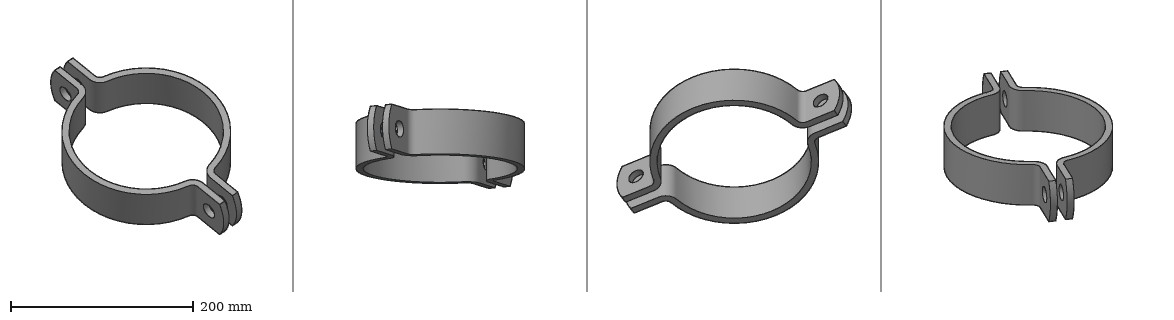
import cadquery as cq
import math

ring_outer_radius = 92.5
thickness = 8.0
ring_inner_radius = ring_outer_radius - thickness
width = 50.0

ear_gap = 11.0
ear_tip_x = 140.0
ear_tip_radius = 50.0
bolt_hole_spacing = 232.0
bolt_hole_diameter = 18.0

ear_inner_y = ear_gap / 2
ear_outer_y = ear_inner_y + thickness

bend_inner_radius = 8.0
bend_outer_radius = bend_inner_radius + thickness
bend_center_y = ear_outer_y + bend_inner_radius
bend_center_distance = ring_outer_radius + bend_inner_radius
bend_angle = math.asin(bend_center_y / bend_center_distance)
bend_center_x = bend_center_distance * math.cos(bend_angle)

bend_middle_angle = (math.pi + bend_angle + 1.5 * math.pi) / 2


def ring_point(radius):
    """Point where the ring, at the given radius, runs into the right-hand bend."""
    return (radius * math.cos(bend_angle), radius * math.sin(bend_angle))


def bend_point(radius):
    """Middle point of the right-hand bend arc of the given radius."""
    return (
        bend_center_x + radius * math.cos(bend_middle_angle),
        bend_center_y + radius * math.sin(bend_middle_angle),
    )


def mirrored(point):
    """The same point on the left-hand side."""
    return (-point[0], point[1])


def strip_profile():
    """Bent strip of the +Y half: ear, bend, half ring, bend, ear."""
    outer_end = ring_point(ring_outer_radius)
    inner_end = ring_point(ring_inner_radius)
    outer_bend = bend_point(bend_inner_radius)
    inner_bend = bend_point(bend_outer_radius)
    return (
        cq.Workplane("XY")
        .moveTo(ear_tip_x, ear_outer_y)
        .lineTo(bend_center_x, ear_outer_y)
        .threePointArc(outer_bend, outer_end)
        .threePointArc((0, ring_outer_radius), mirrored(outer_end))
        .threePointArc(mirrored(outer_bend), (-bend_center_x, ear_outer_y))
        .lineTo(-ear_tip_x, ear_outer_y)
        .lineTo(-ear_tip_x, ear_inner_y)
        .lineTo(-bend_center_x, ear_inner_y)
        .threePointArc(mirrored(inner_bend), mirrored(inner_end))
        .threePointArc((0, ring_inner_radius), inner_end)
        .threePointArc(inner_bend, (bend_center_x, ear_inner_y))
        .lineTo(ear_tip_x, ear_inner_y)
        .close()
    )


def front_outline():
    """Block along Y whose XZ outline is the strip width with arched ear tips."""
    half_width = width / 2
    tip_rise = ear_tip_radius - math.sqrt(ear_tip_radius**2 - half_width**2)
    corner_x = ear_tip_x - tip_rise
    return (
        cq.Workplane("XZ")
        .moveTo(-corner_x, -half_width)
        .lineTo(corner_x, -half_width)
        .threePointArc((ear_tip_x, 0), (corner_x, half_width))
        .lineTo(-corner_x, half_width)
        .threePointArc((-ear_tip_x, 0), (-corner_x, -half_width))
        .close()
        .extrude(ring_outer_radius, both=True)
    )


def bolt_holes():
    """Cutters along +Y for the two bolt holes, reaching just through the ears."""
    return (
        cq.Workplane("XZ")
        .pushPoints([(-bolt_hole_spacing / 2, 0), (bolt_hole_spacing / 2, 0)])
        .circle(bolt_hole_diameter / 2)
        .extrude(-ear_outer_y)
    )


def clamp_half():
    """Clamp half on the +Y side, centered on Z = 0."""
    strip = strip_profile().extrude(width / 2, both=True)
    return strip.intersect(front_outline()).cut(bolt_holes())


clamp_halves = []
for turn in (0, 180):
    half = clamp_half().rotate((0, 0, 0), (0, 0, 1), turn)
    clamp_halves.append(half.val())

result = cq.Compound.makeCompound(clamp_halves)